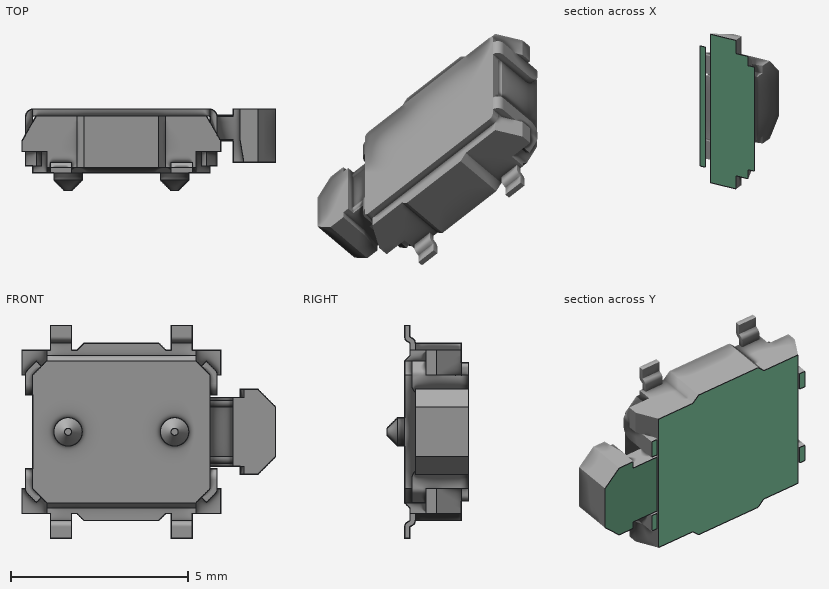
import cadquery as cq
import math


BOTH_SIDES = (1, -1)

core_half_x = 2.5
core_depth = 1.6
corner_cut = 0.4
corner_z = 2.0
ledge_depth = 0.15

shoulder_half_x = 2.8
shoulder_half_z = 2.3
shoulder_inner_z = 1.6
shoulder_front = 0.6
slope_start = 0.9
slope_end_x = 2.4

pad_half_z = 2.5
pad_top_half_x = 1.05
pad_base_half_x = pad_top_half_x + pad_half_z - shoulder_half_z

sheet = 0.2
cover_half_z = 1.95
cover_corner_radius = 0.15
tab_inner_z = 1.04
tab_bend_inner_radius = 0.03
tab_front = 0.2
tab_corner_radius = 0.3
tab_wrap_length = 0.35

terminal_inner_x = 1.4
terminal_outer_x = 2.0
terminal_span = 6.0
terminal_sheet = 0.15
terminal_bend_z = 2.5
terminal_bend_angle = math.radians(60)

pin_pitch = 3.0
pin_radius = 0.4
pin_tip_radius = 0.1
pin_cylinder_length = 0.2
pin_length = 0.5

overall_length = 7.15
tip_x = overall_length - shoulder_half_x
neck_half_z = 0.97
neck_front = 0.94
neck_back = 1.59
rib_z = 0.795
rib_half_width = 0.09
rib_height = 0.04
head_front = 0.3
head_rear_x = 3.15
flange_rear_x = 3.345
flange_front_rear_x = 3.45
head_half_z = 1.2
head_taper_x = 3.85
tip_half_z = 0.7


def prism_along_y(points, front, back):
    """Extrude an (x, z) outline from Y = front to Y = back."""
    plane = cq.Workplane("XZ", origin=(0, front, 0))
    return plane.polyline(points).close().extrude(front - back)


def block(x_range, y_range, z_range):
    """Box between the given X, Y and Z limits."""
    limits = (x_range, y_range, z_range)
    size = [high - low for low, high in limits]
    start = [low for low, high in limits]
    return cq.Workplane("XY").box(*size, centered=False).translate(start)


def in_four_corners(shape):
    """Yield the shape mirrored into all four X and Z quadrants."""
    for across in (shape, shape.mirror("YZ")):
        yield across
        yield across.mirror("XY")


def make_core():
    """Octagonal block carried to the top and bottom faces, stepped back along both edges."""
    cut_x = core_half_x - corner_cut
    cut_z = corner_z - corner_cut
    quarter = [(core_half_x, cut_z), (cut_x, corner_z), (cut_x, shoulder_half_z)]
    outline = []
    for side_x, side_z in ((1, 1), (-1, 1), (-1, -1), (1, -1)):
        corner = [(side_x * x, side_z * z) for x, z in quarter]
        outline += corner if side_x == side_z else corner[::-1]
    core = prism_along_y(outline, 0, core_depth)

    ledge_z = corner_z + ledge_depth
    ledge = (
        cq.Workplane("YZ")
        .polyline([
            (0, corner_z),
            (ledge_depth, ledge_z),
            (ledge_depth, shoulder_half_z),
            (0, shoulder_half_z),
        ])
        .close()
        .extrude(cut_x, both=True)
    )
    return core.cut(ledge).cut(ledge.mirror("XY"))


def make_shoulder():
    """Block that widens one corner of the housing beyond the core."""
    return block(
        (0, shoulder_half_x),
        (shoulder_front, core_depth),
        (shoulder_inner_z, shoulder_half_z),
    )


def make_end_envelope():
    """Prism whose end faces lean inwards behind the slope start."""
    return (
        cq.Workplane("XY")
        .polyline([
            (-shoulder_half_x, 0),
            (shoulder_half_x, 0),
            (shoulder_half_x, slope_start),
            (slope_end_x, core_depth),
            (-slope_end_x, core_depth),
            (-shoulder_half_x, slope_start),
        ])
        .close()
        .extrude(pad_half_z, both=True)
    )


def make_pads():
    """Trapezoidal pads on the top and bottom faces, made as one prism through the core."""
    outline = [
        (pad_base_half_x, -shoulder_half_z),
        (pad_base_half_x, shoulder_half_z),
        (pad_top_half_x, pad_half_z),
        (-pad_top_half_x, pad_half_z),
        (-pad_base_half_x, shoulder_half_z),
        (-pad_base_half_x, -shoulder_half_z),
        (-pad_top_half_x, -pad_half_z),
        (pad_top_half_x, -pad_half_z),
    ]
    return prism_along_y(outline, ledge_depth, core_depth)


def make_cover():
    """Flat sheet with rounded corners."""
    plate = block(
        (-core_half_x, core_half_x),
        (core_depth, core_depth + sheet),
        (-cover_half_z, cover_half_z),
    )
    return plate.edges("|Y").fillet(cover_corner_radius)


def arc_point(centre, radius, angle):
    """Point on a circle, with the angle measured from the first axis towards the second."""
    return (centre[0] + radius * math.cos(angle), centre[1] + radius * math.sin(angle))


def make_tab():
    """Tab that bends off the cover, runs along the core end and wraps its corner cut."""
    eighth_turn = math.pi / 4
    outer_x = core_half_x + sheet

    bend_centre = (core_half_x - tab_bend_inner_radius, core_depth - tab_bend_inner_radius)
    bend_outer_radius = tab_bend_inner_radius + sheet
    strip = (
        cq.Workplane("XY", origin=(0, 0, tab_inner_z))
        .moveTo(core_half_x, tab_front)
        .lineTo(outer_x, tab_front)
        .lineTo(outer_x, bend_centre[1])
        .threePointArc(
            arc_point(bend_centre, bend_outer_radius, eighth_turn),
            (bend_centre[0], core_depth + sheet),
        )
        .lineTo(bend_centre[0], core_depth)
        .threePointArc(
            arc_point(bend_centre, tab_bend_inner_radius, eighth_turn),
            (core_half_x, bend_centre[1]),
        )
        .close()
        .extrude(shoulder_inner_z - tab_inner_z)
        .edges("|X and <Y and <Z")
        .fillet(tab_corner_radius)
    )

    fold_centre = (core_half_x, shoulder_inner_z)
    outer_fold_x, outer_fold_z = arc_point(fold_centre, sheet, eighth_turn)
    run = tab_wrap_length * math.cos(eighth_turn)
    wrap = (
        cq.Workplane("XZ", origin=(0, tab_front, 0))
        .moveTo(*fold_centre)
        .lineTo(outer_x, shoulder_inner_z)
        .threePointArc(arc_point(fold_centre, sheet, eighth_turn / 2), (outer_fold_x, outer_fold_z))
        .lineTo(outer_fold_x - run, outer_fold_z + run)
        .lineTo(core_half_x - run, shoulder_inner_z + run)
        .close()
        .extrude(tab_front - shoulder_front)
    )
    return strip.union(wrap)


def make_terminal():
    """Sheet lead that leaves the ledge and steps forward to the seating face."""
    root_start_z = corner_z + ledge_depth
    root_back = ledge_depth + terminal_sheet
    root_bend = (ledge_depth, terminal_bend_z)
    foot_bend_z = terminal_bend_z + terminal_sheet / math.sin(terminal_bend_angle)
    foot_bend = (terminal_sheet, foot_bend_z)
    tip_z = terminal_span / 2
    half_bend = terminal_bend_angle / 2
    return (
        cq.Workplane("YZ", origin=(terminal_inner_x, 0, 0))
        .moveTo(ledge_depth, root_start_z)
        .lineTo(*root_bend)
        .lineTo(*arc_point(foot_bend, terminal_sheet, math.pi + terminal_bend_angle))
        .threePointArc(arc_point(foot_bend, terminal_sheet, math.pi + half_bend), (0, foot_bend_z))
        .lineTo(0, tip_z)
        .lineTo(terminal_sheet, tip_z)
        .lineTo(*foot_bend)
        .lineTo(*arc_point(root_bend, terminal_sheet, terminal_bend_angle))
        .threePointArc(arc_point(root_bend, terminal_sheet, half_bend), (root_back, terminal_bend_z))
        .lineTo(root_back, root_start_z)
        .close()
        .extrude(terminal_outer_x - terminal_inner_x)
    )


def make_pin(x):
    """Locating pin standing on the seating face at the given X."""
    return (
        cq.Workplane("XY")
        .polyline([
            (0, 0),
            (pin_radius, 0),
            (pin_radius, -pin_cylinder_length),
            (pin_tip_radius, -pin_length),
            (0, -pin_length),
        ])
        .close()
        .revolve(360, (0, 0, 0), (0, 1, 0))
        .translate((x, 0, 0))
    )


def make_housing():
    body = make_core()
    for shoulder in in_four_corners(make_shoulder()):
        body = body.union(shoulder)
    body = body.union(make_pads()).intersect(make_end_envelope())

    body = body.union(make_cover())
    for tab in in_four_corners(make_tab()):
        body = body.union(tab)
    for terminal in in_four_corners(make_terminal()):
        body = body.union(terminal)
    for side in BOTH_SIDES:
        body = body.union(make_pin(side * pin_pitch / 2))
    return body


def make_neck_rib(side, face, direction):
    """Rounded rib along the neck, bulging from the given Y face in the given direction."""
    middle = side * rib_z
    return (
        cq.Workplane("YZ", origin=(core_half_x, 0, 0))
        .moveTo(face, middle - rib_half_width)
        .threePointArc((face + direction * rib_height, middle), (face, middle + rib_half_width))
        .close()
        .extrude(head_rear_x - core_half_x)
    )


def make_plunger():
    """Ribbed neck that meets the end of the core, and the tapered push head."""
    neck = block(
        (core_half_x, head_rear_x),
        (neck_front, neck_back),
        (-neck_half_z, neck_half_z),
    )
    for side in BOTH_SIDES:
        neck = neck.union(make_neck_rib(side, neck_front, -1))
        neck = neck.union(make_neck_rib(side, neck_back, 1))

    head_back = core_depth + sheet
    head_outline = [
        (head_rear_x, -neck_half_z),
        (flange_rear_x, -neck_half_z),
        (flange_rear_x, -head_half_z),
        (head_taper_x, -head_half_z),
        (tip_x, -tip_half_z),
        (tip_x, tip_half_z),
        (head_taper_x, head_half_z),
        (flange_rear_x, head_half_z),
        (flange_rear_x, neck_half_z),
        (head_rear_x, neck_half_z),
    ]
    head = prism_along_y(head_outline, head_front, head_back)

    for low_z in (neck_half_z, -head_half_z):
        relief = (
            cq.Workplane("XY", origin=(0, 0, low_z))
            .polyline([
                (flange_rear_x, neck_front),
                (flange_rear_x, head_front),
                (flange_front_rear_x, head_front),
            ])
            .close()
            .extrude(head_half_z - neck_half_z)
        )
        head = head.cut(relief)
    return neck.union(head)


housing = make_housing()
plunger = make_plunger()

result = cq.Compound.makeCompound([*housing.solids().vals(), *plunger.solids().vals()])